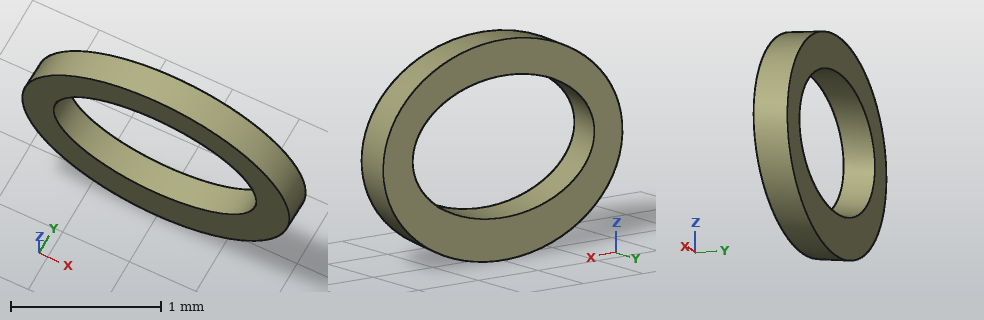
import cadquery as cq

outer_width = 2.01
inner_width = 1.524
wall_depth = 11.9
front_taper = 0.6
back_taper = 0.4

front_outer_height = 1.493
front_outer_z = 0.015
back_outer_height = 1.508
back_outer_z = -0.006
front_inner_height = 0.96
front_inner_z = 0.04
back_inner_height = 0.969
back_inner_z = 0.016
inner_x = -0.006


def face_ellipse(side, taper, width, height, center_x, center_z):
    """Elliptical wire on the front (side=-1) or back (side=1) tilted face."""
    slope = side * taper / outer_width
    face_y = side * (wall_depth - taper) / 2
    plane = cq.Plane(origin=(0, face_y, 0), xDir=(1, slope, 0), normal=(slope, -1, 0))
    workplane = cq.Workplane(plane).center(center_x, center_z)
    return workplane.ellipse(width / 2, height / 2).wires().val()


def elliptical_body(width, center_x, front_height, front_z, back_height, back_z):
    """Straight-sided body joining an ellipse on the front face to one on the back."""
    front = face_ellipse(-0.02, front_taper, width, front_height, center_x, front_z)
    back = face_ellipse(0.02, back_taper, width, back_height, center_x, back_z)
    return cq.Workplane(obj=cq.Solid.makeLoft([front, back], True))


outer_body = elliptical_body(
    outer_width, 0, front_outer_height, front_outer_z, back_outer_height, back_outer_z
)
opening = elliptical_body(
    inner_width, inner_x, front_inner_height, front_inner_z, back_inner_height, back_inner_z
)

result = outer_body.cut(opening)